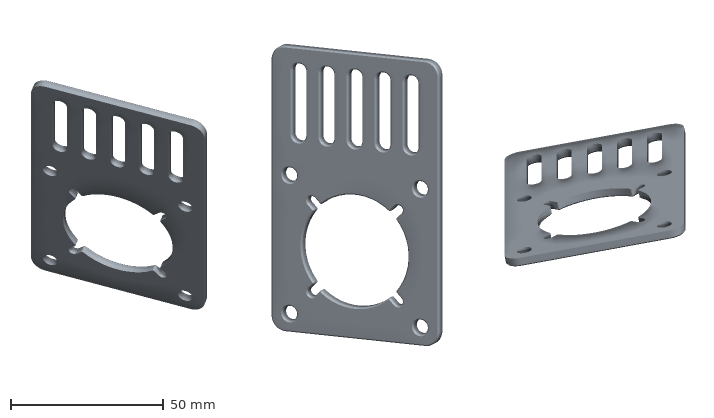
import cadquery as cq
import math

plate_width = 60.0
plate_height = 96.5
plate_thickness = 3.0
corner_radius = 5.0
back_chamfer = 0.5

slot_count = 5
slot_pitch = 10.0
slot_width = 5.0
slot_length = 26.5
slot_top_margin = 5.5
slot_center_z = plate_height - slot_top_margin - slot_length / 2

bore_center_z = 29.6
bore_radius = 19.0
notch_width = 3.1
notch_end_offset = 15.4
notch_reach = math.hypot(notch_end_offset, notch_end_offset)
notch_mouth_radius = 0.53
notch_angles = (45, 135, 225, 315)

screw_hole_diameter = 5.0
screw_hole_spacing = 46.8


def front_plane(center_z):
    """Workplane on the front face (Y = 0), with local x, y along X, Z and its normal along -Y."""
    return cq.Workplane("XZ", origin=(0, 0, center_z))


def make_plate():
    return (
        front_plane(plate_height / 2)
        .rect(plate_width, plate_height)
        .extrude(-plate_thickness)
        .edges("|Y")
        .fillet(corner_radius)
    )


def make_slots():
    return (
        front_plane(slot_center_z)
        .rarray(slot_pitch, 1, slot_count, 1)
        .slot2D(slot_length, slot_width, 90)
        .extrude(-plate_thickness)
    )


def make_notch(angle):
    """Round-ended slot cutter running from the bore axis outward at the given angle."""
    return (
        front_plane(bore_center_z)
        .transformed(rotate=(0, 0, angle))
        .center(notch_reach / 2, 0)
        .slot2D(notch_reach + notch_width, notch_width)
        .extrude(-plate_thickness)
    )


def make_bore():
    """Bore cutter with its notches, rounded at the corners where they meet the bore."""
    bore = front_plane(bore_center_z).circle(bore_radius).extrude(-plate_thickness)
    for angle in notch_angles:
        bore = bore.union(make_notch(angle))

    mouth_half_angle = math.asin(notch_width / 2 / bore_radius)
    for angle in notch_angles:
        for side in (-1, 1):
            corner_angle = math.radians(angle) + side * mouth_half_angle
            corner = (
                bore_radius * math.cos(corner_angle),
                plate_thickness / 2,
                bore_center_z + bore_radius * math.sin(corner_angle),
            )
            mouth_edge = cq.selectors.NearestToPointSelector(corner)
            bore = bore.edges("|Y").edges(mouth_edge).fillet(notch_mouth_radius)
    return bore


def make_screw_holes():
    return (
        front_plane(bore_center_z)
        .rarray(screw_hole_spacing, screw_hole_spacing, 2, 2)
        .circle(screw_hole_diameter / 2)
        .extrude(-plate_thickness)
    )


panel = make_plate().cut(make_slots()).cut(make_bore()).cut(make_screw_holes())

result = panel.faces(">Y").edges().chamfer(back_chamfer)